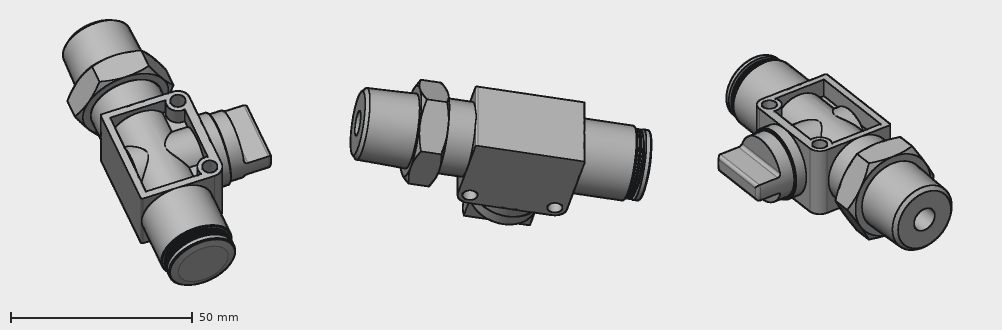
import cadquery as cq
import math


thread_end_x = -46.5
total_length = 81.6
thread_length = 15.05
hex_width = 8.0
outlet_end_x = thread_end_x + total_length
hex_start_x = thread_end_x + thread_length
hex_end_x = hex_start_x + hex_width

body_radius = 21.0 / 2
thread_taper = 1 / 32
thread_chamfer_length = 1.1
thread_face_radius = 8.95
inlet_bore_diameter = 7.0

hex_across_flats = 25.4
hex_corner_radius = hex_across_flats / math.sqrt(3)
hex_chamfer_angle = math.radians(30)

release_ring_length = 4.75
tube_end_x = outlet_end_x - release_ring_length
edge_break = 0.25

neck_radius = 14.8 / 2
flange_radius = 19.8 / 2
flange_width = 2.0
flange_rim_width = 1.25
flange_edge_chamfer = 0.3
bead_radius = 19.5 / 2
bead_root_radius = 9.5
bead_count = 2
bead_pitch = 1.0
bead_gap = 0.2
bead_chamfer = 0.15

block_width = 31.0
block_top_y = 14.5
block_bottom_y = -10.65
block_half_height = body_radius
block_bottom_fillet = 0.5
mount_hole_diameter = 4.2
mount_corner_radius = 3.45

side_wall = 1.95
stem_wall = 2.75
bottom_wall = 2.2
window_floor_z = 5.0

inner_tube_radius = 8.66
housing_radius = 8.24
housing_bottom_y = -7.5
pivot_radius = 6.63

collar_radius = 21.0 / 2
collar_top_y = 18.1
knob_radius = 19.5 / 2
knob_shoulder_y = 22.35
knob_top_y = 30.5
blade_thickness = 5.2
blade_fillet = 1.0


def cylinder_along_x(radius, start_x, end_x):
    return cq.Workplane("YZ", origin=(start_x, 0, 0)).circle(radius).extrude(end_x - start_x)


def cylinder_along_y(radius, start_y, end_y):
    return cq.Workplane("XZ", origin=(0, start_y, 0)).circle(radius).extrude(start_y - end_y)


def revolve_about_x(points):
    return cq.Workplane("XY").polyline(points).close().revolve(360, (0, 0, 0), (1, 0, 0))


def make_thread():
    chamfer_end_x = thread_end_x + thread_chamfer_length
    chamfer_radius = body_radius - (hex_start_x - chamfer_end_x) * thread_taper
    return revolve_about_x([
        (thread_end_x, 0),
        (thread_end_x, thread_face_radius),
        (chamfer_end_x, chamfer_radius),
        (hex_start_x, body_radius),
        (hex_start_x, 0),
    ])


def make_hexagon():
    prism = (
        cq.Workplane("YZ", origin=(hex_start_x, 0, 0))
        .polygon(6, 2 * hex_corner_radius)
        .extrude(hex_width)
    )
    flat_radius = hex_across_flats / 2
    chamfer_length = (hex_corner_radius - flat_radius) * math.tan(hex_chamfer_angle)
    envelope = revolve_about_x([
        (hex_start_x, 0),
        (hex_start_x, flat_radius),
        (hex_start_x + chamfer_length, hex_corner_radius),
        (hex_end_x - chamfer_length, hex_corner_radius),
        (hex_end_x, flat_radius),
        (hex_end_x, 0),
    ])
    return prism.intersect(envelope)


def make_body_tube():
    return cylinder_along_x(body_radius, hex_end_x, tube_end_x).faces("<X or >X").chamfer(edge_break)


def make_release_ring():
    points = [(tube_end_x, 0), (tube_end_x, bead_root_radius)]
    for index in range(bead_count):
        bead_start_x = tube_end_x + bead_gap + index * bead_pitch
        bead_end_x = bead_start_x + bead_pitch - bead_gap
        points += [
            (bead_start_x, bead_root_radius),
            (bead_start_x + bead_chamfer, bead_radius),
            (bead_end_x - bead_chamfer, bead_radius),
            (bead_end_x, bead_root_radius),
        ]
    flange_x = outlet_end_x - flange_width
    rim_end_x = flange_x + flange_rim_width
    points += [
        (tube_end_x + bead_count * bead_pitch, neck_radius),
        (flange_x, neck_radius),
        (flange_x, flange_radius),
        (rim_end_x, flange_radius),
        (rim_end_x + flange_edge_chamfer, flange_radius - flange_edge_chamfer),
        (outlet_end_x, neck_radius),
        (outlet_end_x, 0),
    ]
    return revolve_about_x(points)


def mount_points():
    offset_x = block_width / 2 - mount_corner_radius
    mount_y = block_top_y - mount_corner_radius
    return [(-offset_x, mount_y), (offset_x, mount_y)]


def make_block():
    length = block_top_y - block_bottom_y
    height = 2 * block_half_height
    block = cq.Workplane("XY").box(block_width, length, height, centered=(True, False, True))
    block = block.translate((0, block_bottom_y, 0))
    block = block.edges("|Z and >Y").fillet(mount_corner_radius)
    return block.edges("|Z and <Y").fillet(block_bottom_fillet)


def make_window():
    width = block_width - 2 * side_wall
    bottom_y = block_bottom_y + bottom_wall
    top_y = block_top_y - stem_wall
    depth = block_half_height - window_floor_z
    window = cq.Workplane("XY").box(width, top_y - bottom_y, depth, centered=(True, False, False))
    window = window.translate((0, bottom_y, window_floor_z))
    mount_bosses = (
        cq.Workplane("XY", origin=(0, 0, window_floor_z))
        .pushPoints(mount_points())
        .circle(mount_corner_radius)
        .extrude(depth)
    )
    inner_tube = cylinder_along_x(inner_tube_radius, -block_width / 2, block_width / 2)
    housing = cylinder_along_y(housing_radius, housing_bottom_y, block_top_y)
    pivot = cylinder_along_y(pivot_radius, block_bottom_y, block_top_y)
    return window.cut(mount_bosses).cut(inner_tube).cut(housing).cut(pivot)


def make_knob():
    half_blade = blade_thickness / 2
    root_half = half_blade + blade_fillet
    blade = (
        cq.Workplane("YZ", origin=(-knob_radius, 0, 0))
        .moveTo(block_top_y, -root_half)
        .lineTo(knob_shoulder_y, -root_half)
        .radiusArc((knob_shoulder_y + blade_fillet, -half_blade), blade_fillet)
        .lineTo(knob_top_y, -half_blade)
        .lineTo(knob_top_y, half_blade)
        .lineTo(knob_shoulder_y + blade_fillet, half_blade)
        .radiusArc((knob_shoulder_y, root_half), blade_fillet)
        .lineTo(block_top_y, root_half)
        .close()
        .extrude(2 * knob_radius)
        .intersect(cylinder_along_y(knob_radius, block_top_y, knob_top_y))
        .faces(">Y")
        .edges()
        .fillet(blade_fillet)
    )
    collar = cylinder_along_y(collar_radius, block_top_y, collar_top_y).faces(">Y").chamfer(edge_break)
    return collar.union(cylinder_along_y(knob_radius, block_top_y, knob_shoulder_y)).union(blade)


def make_mount_holes():
    return (
        cq.Workplane("XY", origin=(0, 0, -block_half_height))
        .pushPoints(mount_points())
        .circle(mount_hole_diameter / 2)
        .extrude(2 * block_half_height)
    )


def make_inlet_bore():
    return cylinder_along_x(inlet_bore_diameter / 2, thread_end_x, -housing_radius)


result = (
    make_thread()
    .union(make_hexagon())
    .union(make_body_tube())
    .union(make_release_ring())
    .union(make_block())
    .cut(make_window())
    .union(make_knob())
    .cut(make_mount_holes())
    .cut(make_inlet_bore())
)